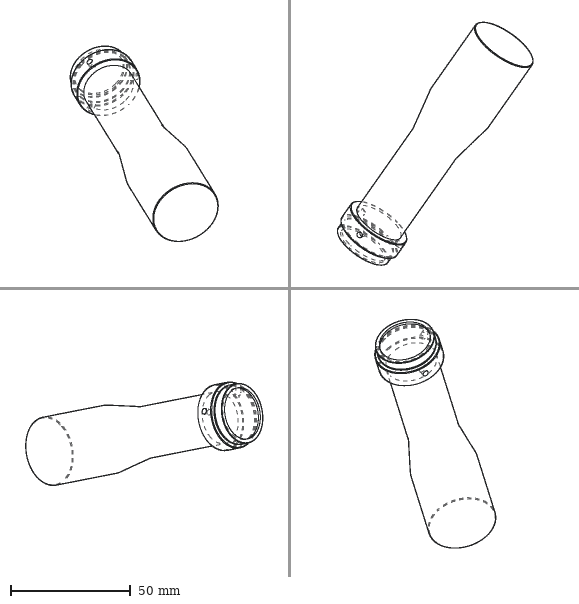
import cadquery as cq
import math

total_length = 111.3
spigot_end = 4.1
collar_start = 4.8
collar_end = 12.8
taper_start = 56.5
taper_end = 76.1

spigot_radius = 12.7
relief_radius = 12.4
collar_radius = 14.0
tube_radius = 11.0
barrel_radius = 14.53

spigot_chamfer = 0.2
edge_chamfer = 0.3

recess_radius = 10.9
recess_depth = 1.1
lens_bulge = 0.9

screw_count = 3
screw_diameter = 2.5
screw_depth = 3.0
first_screw_angle = 0.0


def make_body():
    """Revolved outside with the domed lens at the bottom of the front recess."""
    lens_sphere_radius = (recess_radius**2 + lens_bulge**2) / (2 * lens_bulge)
    half_radius = recess_radius / 2
    sag = lens_sphere_radius - math.sqrt(lens_sphere_radius**2 - half_radius**2)
    lens_apex = recess_depth - lens_bulge
    profile = (
        cq.Workplane("XY")
        .moveTo(lens_apex, 0)
        .threePointArc((lens_apex + sag, half_radius), (recess_depth, recess_radius))
        .lineTo(0, recess_radius)
        .lineTo(0, spigot_radius - spigot_chamfer)
        .lineTo(spigot_chamfer, spigot_radius)
        .lineTo(spigot_end, spigot_radius)
        .lineTo(spigot_end, relief_radius)
        .lineTo(collar_start, relief_radius)
        .lineTo(collar_start, collar_radius - edge_chamfer)
        .lineTo(collar_start + edge_chamfer, collar_radius)
        .lineTo(collar_end - edge_chamfer, collar_radius)
        .lineTo(collar_end, collar_radius - edge_chamfer)
        .lineTo(collar_end, tube_radius)
        .lineTo(taper_start, tube_radius)
        .lineTo(taper_end, barrel_radius)
        .lineTo(total_length - edge_chamfer, barrel_radius)
        .lineTo(total_length, barrel_radius - edge_chamfer)
        .lineTo(total_length, 0)
        .close()
    )
    return profile.revolve(360, (0, 0, 0), (1, 0, 0))


def make_screw_hole(angle):
    """Blind radial cutter in the middle of the collar, starting on +Y and turned by the angle."""
    middle = (collar_start + collar_end) / 2
    outward = cq.Vector(0, 1, 0)
    cutter = cq.Solid.makeCylinder(
        screw_diameter / 2,
        2 * screw_depth,
        cq.Vector(middle, collar_radius - screw_depth, 0),
        outward,
    )
    return cutter.rotate(cq.Vector(0, 0, 0), cq.Vector(1, 0, 0), angle)


result = make_body()
for index in range(screw_count):
    result = result.cut(make_screw_hole(first_screw_angle + index * 360 / screw_count))